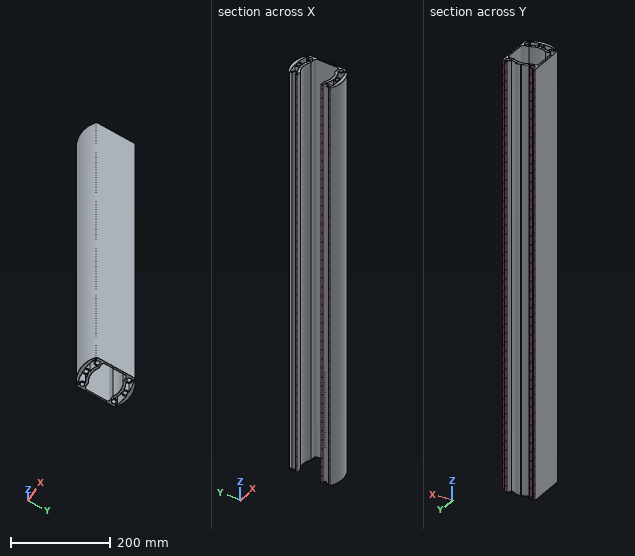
import cadquery as cq

WIDTH = 78.0
DEPTH = 120.0
LENGTH = 1000.0

END_RADIUS = DEPTH / 2
CORNER_RADIUS = 8.0

SIDE_WALL = 4.0
CAVITY_WIDTH = WIDTH - 2 * SIDE_WALL
CAVITY_RADIUS = CAVITY_WIDTH / 2
SHELF_Y = 29.0
CAVITY_CORNER_RADIUS = 5.5

MIDDLE_CHANNEL_RADIUS = 9.5 / 2
MIDDLE_CHANNEL_Y = 46.5
CORNER_CHANNEL_RADIUS = 9.4 / 2
CORNER_CHANNEL_X = 29.0
CORNER_CHANNEL_Y = 37.5
CHANNEL_WALL = 2.5

CHAMBER_FLOOR_WALL = 5.5
CHAMBER_FLOOR_RADIUS = CAVITY_RADIUS + CHAMBER_FLOOR_WALL
CHAMBER_ROOF_WALL = 8.0
CHAMBER_ROOF_Y = END_RADIUS - CHAMBER_ROOF_WALL
CHAMBER_ROOF_RADIUS = 100.0


def cylinder(x, y, radius):
    """Full-length cylinder along Z."""
    return cq.Workplane("XY").center(x, y).circle(radius).extrude(LENGTH)


def block(width, depth):
    """Full-length rectangular block centred on the Z axis."""
    return cq.Workplane("XY").rect(width, depth).extrude(LENGTH)


def outer_body():
    """Round bar with two flat sides and rounded corners."""
    body = cylinder(0, 0, END_RADIUS).intersect(block(WIDTH, DEPTH))
    return body.edges("|Z").edges(">X or <X").fillet(CORNER_RADIUS)


def cavity():
    """Central opening: rounded rectangle joined with a circle that bulges at both ends."""
    rectangle = block(CAVITY_WIDTH, 2 * SHELF_Y).edges("|Z").fillet(CAVITY_CORNER_RADIUS)
    bulge = cylinder(0, 0, CAVITY_RADIUS)
    return rectangle.union(bulge)


def screw_channels(y_side, wall=0.0):
    """Middle and two corner channels at one end, optionally grown by a wall thickness."""
    channels = cylinder(0, y_side * MIDDLE_CHANNEL_Y, MIDDLE_CHANNEL_RADIUS + wall)
    for x_side in (-1, 1):
        x = x_side * CORNER_CHANNEL_X
        y = y_side * CORNER_CHANNEL_Y
        channels = channels.union(cylinder(x, y, CORNER_CHANNEL_RADIUS + wall))
    return channels


def chambers(y_side):
    """Two four-sided hollows at one end, between the curved walls and the channel walls."""
    wedge_y = y_side * DEPTH
    wedge_x = DEPTH * CORNER_CHANNEL_X / CORNER_CHANNEL_Y
    wedge_corners = [(0, 0), (wedge_x, wedge_y), (-wedge_x, wedge_y)]
    wedge = cq.Workplane("XY").polyline(wedge_corners).close().extrude(LENGTH)
    roof = cylinder(0, y_side * (CHAMBER_ROOF_Y - CHAMBER_ROOF_RADIUS), CHAMBER_ROOF_RADIUS)
    floor = cylinder(0, 0, CHAMBER_FLOOR_RADIUS)
    return wedge.intersect(roof).cut(floor).cut(screw_channels(y_side, CHANNEL_WALL))


result = outer_body().cut(cavity())
for y_side in (-1, 1):
    result = result.cut(screw_channels(y_side)).cut(chambers(y_side))